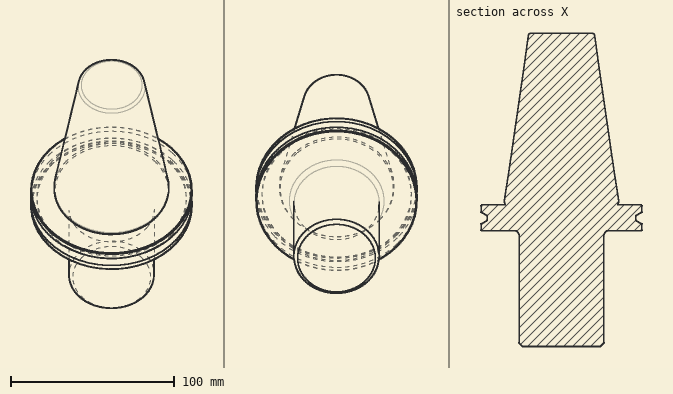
import cadquery as cq
import math

total_height = 191.6
taper_length = 102.0
collar_height = 2.9
flange_thickness = 16.0

flange_diameter = 98.5
groove_diameter = 91.2
gauge_diameter = 70.1
shank_diameter = 52.1
taper_ratio = 7 / 24

groove_floor_width = 2.9
groove_flank_angle = 30.0
groove_center_depth = 8.2

tip_fillet = 2.0
shank_end_chamfer = 2.3
shank_root_fillet = 2.9
flange_edge_chamfer = 0.5

undercut_height = 1.3
undercut_depth = 0.5

flange_radius = flange_diameter / 2
groove_radius = groove_diameter / 2
gauge_radius = gauge_diameter / 2
shank_radius = shank_diameter / 2
tip_radius = gauge_radius - taper_length * taper_ratio / 2
gauge_z = total_height - taper_length
flange_top = gauge_z - collar_height
flange_bottom = flange_top - flange_thickness
groove_z = flange_top - groove_center_depth
floor_half = groove_floor_width / 2
flank_rise = (flange_radius - groove_radius) * math.tan(math.radians(groove_flank_angle))
mouth_half = floor_half + flank_rise


def make_shank():
    shank = cq.Workplane("XY").circle(shank_radius).extrude(flange_bottom)
    return shank.faces("<Z").chamfer(shank_end_chamfer)


def make_root_fillet():
    """Concave ring blending the shank into the underside of the flange."""
    arc_middle = shank_root_fillet * (1 - math.sqrt(0.5))
    return (
        cq.Workplane("XZ")
        .moveTo(0, flange_bottom - shank_root_fillet)
        .lineTo(shank_radius, flange_bottom - shank_root_fillet)
        .threePointArc(
            (shank_radius + arc_middle, flange_bottom - arc_middle),
            (shank_radius + shank_root_fillet, flange_bottom),
        )
        .lineTo(0, flange_bottom)
        .close()
        .revolve(360, (0, 0, 0), (0, 1, 0))
    )


def make_flange():
    flange = (
        cq.Workplane("XY", origin=(0, 0, flange_bottom))
        .circle(flange_radius)
        .extrude(flange_thickness)
        .edges("%CIRCLE")
        .chamfer(flange_edge_chamfer)
    )
    groove = (
        cq.Workplane("XZ")
        .moveTo(groove_radius, groove_z - floor_half)
        .lineTo(flange_radius, groove_z - mouth_half)
        .lineTo(flange_radius, groove_z + mouth_half)
        .lineTo(groove_radius, groove_z + floor_half)
        .close()
        .revolve(360, (0, 0, 0), (0, 1, 0))
    )
    return flange.cut(groove)


def make_taper():
    """Cone with a rounded tip, standing on a collar that is undercut at its foot."""
    cone = (
        cq.Workplane("XZ")
        .moveTo(0, gauge_z)
        .lineTo(gauge_radius, gauge_z)
        .lineTo(tip_radius, total_height)
        .lineTo(0, total_height)
        .close()
        .revolve(360, (0, 0, 0), (0, 1, 0))
        .faces(">Z")
        .edges()
        .fillet(tip_fillet)
    )
    collar = (
        cq.Workplane("XY", origin=(0, 0, flange_top))
        .circle(gauge_radius)
        .extrude(collar_height)
        .faces("<Z")
        .chamfer(undercut_height, undercut_depth)
    )
    return cone.union(collar)


result = make_shank().union(make_root_fillet()).union(make_flange()).union(make_taper())